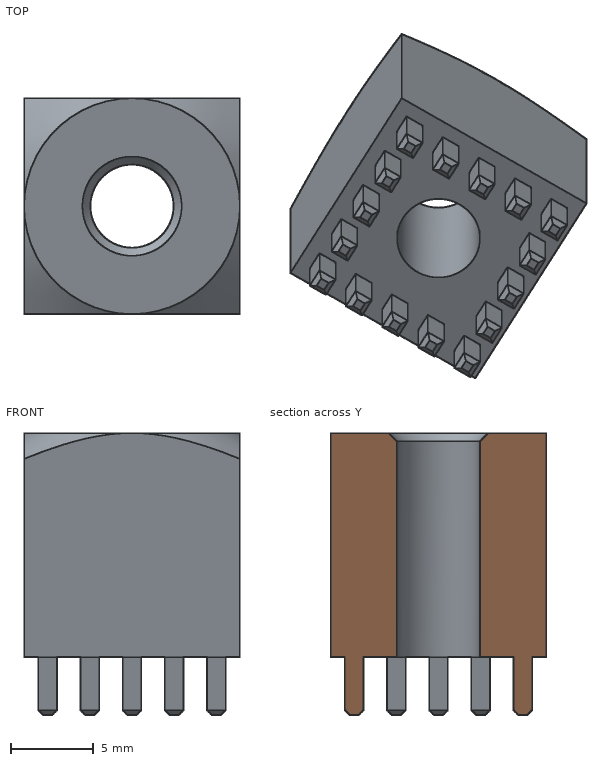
import cadquery as cq
import math

total_height = 17.0
body_width = 13.0
pin_length = 3.5
body_height = total_height - pin_length

top_circle_radius = body_width / 2
corner_slope = math.radians(30)

hole_diameter = 5.0
countersink_depth = 0.5
countersink_angle = 90
countersink_diameter = hole_diameter + 2 * countersink_depth

pin_width = 1.14
pins_per_side = 5
pin_row_span = 10.17
pin_pitch = pin_row_span / (pins_per_side - 1)
pin_tip_chamfer = 0.3


def make_body():
    """Square block whose top corners are cut back by a cone touching the four sides."""
    block = cq.Workplane("XY").box(body_width, body_width, body_height, centered=(True, True, False))
    envelope_radius = body_width
    cone_drop = (envelope_radius - top_circle_radius) * math.tan(corner_slope)
    envelope = (
        cq.Workplane("XZ")
        .moveTo(0, 0)
        .lineTo(envelope_radius, 0)
        .lineTo(envelope_radius, body_height - cone_drop)
        .lineTo(top_circle_radius, body_height)
        .lineTo(0, body_height)
        .close()
        .revolve(360, (0, 0, 0), (0, 1, 0))
    )
    return block.intersect(envelope)


def cut_hole(body):
    """Through hole with a countersink at the top."""
    return body.faces(">Z").workplane(origin=(0, 0, body_height)).cskHole(
        hole_diameter, countersink_diameter, countersink_angle
    )


def ring_positions():
    """Centres of the outermost places of the square pin grid."""
    last = pins_per_side - 1
    middle = last / 2
    return [
        ((column - middle) * pin_pitch, (row - middle) * pin_pitch)
        for column in range(pins_per_side)
        for row in range(pins_per_side)
        if column in (0, last) or row in (0, last)
    ]


def make_pins():
    """Square pins hanging below the body, with chamfered tips."""
    return (
        cq.Workplane("XY")
        .pushPoints(ring_positions())
        .rect(pin_width, pin_width)
        .extrude(-pin_length)
        .faces("<Z")
        .chamfer(pin_tip_chamfer)
    )


result = cut_hole(make_body()).union(make_pins())